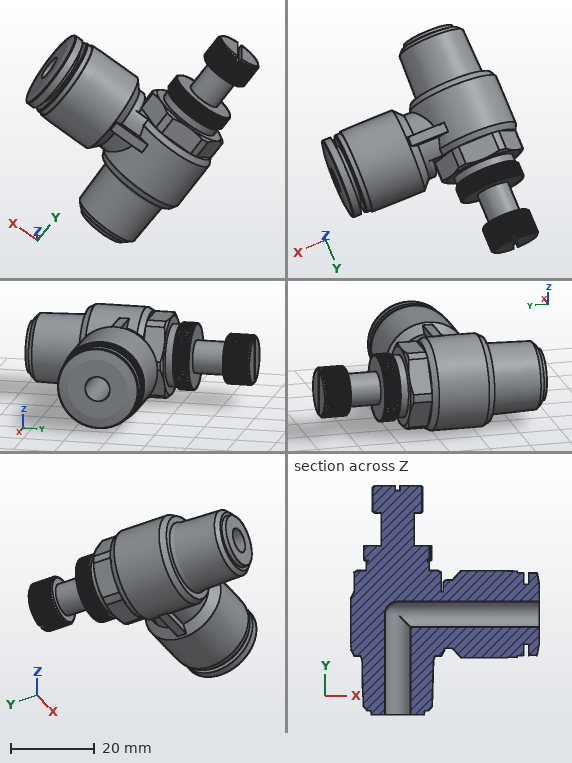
import cadquery as cq
import math


spigot_end_y = -24.1
nose_top_y = -23.1
nose_end_radius, nose_radius = 6.3, 6.55
thread_start_y = -22.05
thread_chamfer_radius = 7.3
thread_start_radius, thread_end_radius = 8.3, 8.6
flare_y = -11.05
flare_radius = 8.9

body_bottom_y, body_top_y = -10.05, 5.45
body_radius = 11.25
body_chamfer_width, body_chamfer_height = 0.8, 1.55

hex_top_y = 10.55
hex_across_flats = 19.1
hex_corner_radius = 10.5
hex_chamfer_height = 0.5

collar_top_y = 12.85
collar_radius = 7.6
collar_chamfer = 0.45
ring_top_y = 16.45
ring_radius = 8.1
ring_bevel = 0.2
stem_radius = 4.0
knob_bottom_y, knob_top_y = 24.2, 30.8
knob_radius = 6.05
knob_bevel = 0.5
slot_width, slot_depth = 1.1, 1.1

knob_teeth = 49
ring_teeth = 61
tooth_depth = 0.3
tooth_land_share = 0.3

neck_radius = 8.25
neck_face_x = 10.85
neck_rounding = 1.05

shoulder_start_x, shoulder_end_x = 13.1, 15.15
arm_radius = 10.45
arm_taper_x, arm_end_x = 26.2, 28.65
arm_end_radius = 10.3
insert_radius, insert_chamfer_radius = 10.0, 9.8
insert_chamfer_x, insert_end_x = 29.9, 30.25
groove_radius = 7.25
flange_start_x, flange_edge_x = 31.35, 33.25
flange_radius = 9.95
flange_face_x = 33.5
flange_face_radius = 9.7
arm_face_x = 33.95
arm_face_radius = 7.3

rib_width = 2.4
rib_half_height = 9.95

bore_radius = 3.0


def turned_along_y(profile):
    """Solid of revolution about Y from (radius, y) points, closed along the axis."""
    start_y, end_y = profile[0][1], profile[-1][1]
    outline = [(0, start_y)] + profile + [(0, end_y)]
    return cq.Workplane("XY").polyline(outline).close().revolve(360, (0, 0, 0), (0, 1, 0))


def turned_along_x(profile):
    """Solid of revolution about X from (x, radius) points, closed along the axis."""
    start_x, end_x = profile[0][0], profile[-1][0]
    outline = [(start_x, 0)] + profile + [(end_x, 0)]
    return cq.Workplane("XY").polyline(outline).close().revolve(360, (0, 0, 0), (1, 0, 0))


def plane_across_y(y):
    """Work plane at height y, facing -Y, so that a negative extrusion rises toward +Y."""
    return cq.Workplane("XZ", origin=(0, y, 0))


def bevelled_blank(radius, bottom_y, top_y, bevel):
    """Disc about Y with both rims bevelled at 45 degrees."""
    return turned_along_y([
        (radius - bevel, bottom_y),
        (radius, bottom_y + bevel),
        (radius, top_y - bevel),
        (radius - bevel, top_y),
    ])


def knurled_wheel(tooth_count, radius, bottom_y, top_y, bevel):
    """Bevelled wheel with straight V grooves; one groove faces +X."""
    pitch = 2 * math.pi / tooth_count
    half_land = pitch * tooth_land_share / 2
    root_radius = radius - tooth_depth
    outline = []
    for tooth in range(tooth_count):
        land_angle = (tooth + 0.5) * pitch
        corners = [
            (radius, land_angle - half_land),
            (radius, land_angle + half_land),
            (root_radius, land_angle + pitch / 2),
        ]
        outline += [(r * math.cos(angle), r * math.sin(angle)) for r, angle in corners]
    teeth = plane_across_y(bottom_y).polyline(outline).close().extrude(bottom_y - top_y)
    return teeth.intersect(bevelled_blank(radius, bottom_y, top_y, bevel))


def make_valve_body():
    chamfered_radius = body_radius - body_chamfer_width
    return turned_along_y([
        (nose_end_radius, spigot_end_y),
        (nose_radius, nose_top_y),
        (thread_chamfer_radius, nose_top_y),
        (thread_start_radius, thread_start_y),
        (thread_end_radius, flare_y),
        (flare_radius, body_bottom_y),
        (chamfered_radius, body_bottom_y),
        (body_radius, body_bottom_y + body_chamfer_height),
        (body_radius, body_top_y - body_chamfer_height),
        (chamfered_radius, body_top_y),
    ])


def make_hexagon():
    """Hexagon with flats facing +Z and -Z, its corners and top edge turned off."""
    across_corners = hex_across_flats / math.cos(math.pi / 6)
    prism = plane_across_y(body_top_y).polygon(6, across_corners).extrude(body_top_y - hex_top_y)
    envelope = turned_along_y([
        (hex_corner_radius, body_top_y),
        (hex_corner_radius, hex_top_y - hex_chamfer_height),
        (hex_across_flats / 2, hex_top_y),
    ])
    return prism.intersect(envelope)


def make_collar_and_stem():
    return turned_along_y([
        (collar_radius, hex_top_y),
        (collar_radius, collar_top_y - collar_chamfer),
        (collar_radius - collar_chamfer, collar_top_y),
        (stem_radius, collar_top_y),
        (stem_radius, knob_bottom_y),
    ])


def make_knob():
    """Knurled knob with a screwdriver slot along Z in its top."""
    knob = knurled_wheel(knob_teeth, knob_radius, knob_bottom_y, knob_top_y, knob_bevel)
    slot = cq.Workplane("XY").box(slot_width, 2 * slot_depth, 2 * knob_radius)
    return knob.cut(slot.translate((0, knob_top_y, 0)))


def make_neck():
    """Round neck whose rounded end stands clear of the hexagon; below the body's top
    plane it runs on into the body."""
    rounded_end = (
        cq.Workplane("YZ", origin=(neck_face_x, 0, 0))
        .circle(neck_radius)
        .extrude(shoulder_start_x - neck_face_x)
        .faces("<X")
        .edges()
        .fillet(neck_rounding)
    )
    extension = cq.Workplane("YZ").circle(neck_radius).extrude(neck_face_x + neck_rounding)
    reach = 2 * body_radius
    below_body_top = cq.Workplane("XY").box(2 * reach, reach, reach)
    below_body_top = below_body_top.translate((0, body_top_y - reach / 2, 0))
    return rounded_end.union(extension.intersect(below_body_top))


def make_arm():
    return turned_along_x([
        (shoulder_start_x, neck_radius),
        (shoulder_end_x, arm_radius),
        (arm_taper_x, arm_radius),
        (arm_end_x, arm_end_radius),
        (arm_end_x, insert_radius),
        (insert_chamfer_x, insert_radius),
        (insert_end_x, insert_chamfer_radius),
        (insert_end_x, groove_radius),
        (flange_start_x, groove_radius),
        (flange_start_x, flange_radius),
        (flange_edge_x, flange_radius),
        (flange_face_x, flange_face_radius),
        (arm_face_x, arm_face_radius),
    ])


def make_ribs():
    """Flat web through the neck that shows as a rib on its +Z and -Z sides."""
    shoulder_slope = (shoulder_end_x - shoulder_start_x) / (arm_radius - neck_radius)
    rib_end_x = shoulder_end_x - shoulder_slope * (arm_radius - rib_half_height)
    return cq.Workplane("XY").box(
        rib_end_x, rib_width, 2 * rib_half_height, centered=(False, True, True)
    )


def make_bore():
    """Right-angled passage from the spigot to the arm, with a ball-shaped corner."""
    spigot_bore = plane_across_y(spigot_end_y).circle(bore_radius).extrude(spigot_end_y)
    arm_bore = cq.Workplane("YZ").circle(bore_radius).extrude(arm_face_x)
    corner = cq.Workplane("XY").sphere(bore_radius)
    return spigot_bore.union(arm_bore).union(corner)


result = (
    make_valve_body()
    .union(make_hexagon())
    .union(make_collar_and_stem())
    .union(knurled_wheel(ring_teeth, ring_radius, collar_top_y, ring_top_y, ring_bevel))
    .union(make_knob())
    .union(make_neck())
    .union(make_arm())
    .union(make_ribs())
    .cut(make_bore())
)